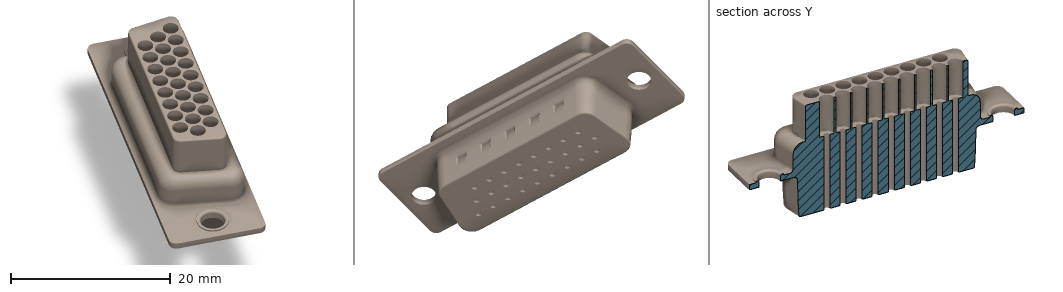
import cadquery as cq
import math

FLANGE_LENGTH = 39.15
FLANGE_WIDTH = 12.5
FLANGE_BOTTOM_Z = 6.0
FLANGE_THICKNESS = 0.82
FLANGE_TOP_Z = FLANGE_BOTTOM_Z + FLANGE_THICKNESS
FLANGE_CORNER_RADIUS = 0.98

MOUNT_SPACING = 33.3
MOUNT_POINTS = [(-MOUNT_SPACING / 2, 0), (MOUNT_SPACING / 2, 0)]
MOUNT_DIAMETER = 3.05
RIM_DIAMETER = 4.05
RIM_HEIGHT = 0.25
RIM_EDGE_RADIUS = 0.27

END_SLANT_DEG = 10.0

SHELL_LENGTH = 26.7
SHELL_WIDTH = 10.72
SHELL_TOP_Z = 10.85
SHELL_CORNER_RADIUS = 2.05
SHELL_EDGE_RADIUS = 1.45
SHELL_ROOT_RADIUS = 0.47

INSERT_LENGTH = 23.17
INSERT_WIDTH = 6.75
INSERT_TOP_Z = 16.1
INSERT_CORNER_RADIUS = 1.0
INSERT_EDGE_RADIUS = 0.25

REAR_LENGTH = 25.5
REAR_WIDTH = 9.35
REAR_CORNER_RADIUS = 2.05
REAR_DRAFT_DEG = 1.8
REAR_ROOT_RADIUS = 0.47
FOOT_HEIGHT = 1.53
FOOT_DRAFT_DEG = 4.0
FOOT_EDGE_RADIUS = 0.27

SOCKET_DIAMETER = 2.0
SOCKET_DEPTH = INSERT_TOP_Z - SHELL_TOP_Z
PIN_DIAMETER = 0.8
FULL_ROW_COUNT = 9
FULL_ROW_SPAN = 18.3
PIN_PITCH = FULL_ROW_SPAN / (FULL_ROW_COUNT - 1)
OUTER_ROW_DISTANCE = 3.95
GRID_OFFSET_X = 0.08
ROW_STAGGER = PIN_PITCH / 4
PIN_ROWS = [
    (FULL_ROW_COUNT, GRID_OFFSET_X - ROW_STAGGER),
    (FULL_ROW_COUNT, GRID_OFFSET_X + ROW_STAGGER),
    (FULL_ROW_COUNT - 1, GRID_OFFSET_X + ROW_STAGGER),
]

RECESS_COUNT = 5
RECESS_PITCH = 3.75
RECESS_TOP_Z = 4.05
RECESS_BOTTOM_Z = 2.07
RECESS_TOP_WIDTH = 1.72
RECESS_BOTTOM_WIDTH = 1.5
RECESS_DEPTH = 0.3
RECESS_WALL_DRAFT_DEG = 45.0


def d_body(length, width, corner_radius, start_z, height, draft_deg=0):
    """D-shaped prism from start_z; a negative height extrudes downwards."""
    half_width = width / 2
    slant = half_width * math.tan(math.radians(END_SLANT_DEG))
    wide = length / 2 + slant
    narrow = length / 2 - slant
    corners = [(-wide, half_width), (wide, half_width), (narrow, -half_width), (-narrow, -half_width)]
    outline = cq.Sketch().polygon(corners + corners[:1]).vertices().fillet(corner_radius)
    return cq.Workplane("XY", origin=(0, 0, start_z)).placeSketch(outline).extrude(height, taper=draft_deg)


def make_flange():
    return (
        cq.Workplane("XY", origin=(0, 0, FLANGE_BOTTOM_Z))
        .rect(FLANGE_LENGTH, FLANGE_WIDTH)
        .extrude(FLANGE_THICKNESS)
        .edges("|Z")
        .fillet(FLANGE_CORNER_RADIUS)
    )


def make_shell():
    height = SHELL_TOP_Z - FLANGE_TOP_Z
    shell = d_body(SHELL_LENGTH, SHELL_WIDTH, SHELL_CORNER_RADIUS, FLANGE_TOP_Z, height)
    return shell.faces(">Z").edges().fillet(SHELL_EDGE_RADIUS)


def make_insert():
    height = INSERT_TOP_Z - FLANGE_TOP_Z
    insert = d_body(INSERT_LENGTH, INSERT_WIDTH, INSERT_CORNER_RADIUS, FLANGE_TOP_Z, height)
    return insert.faces(">Z").edges().fillet(INSERT_EDGE_RADIUS)


def make_rear():
    wall_height = FLANGE_BOTTOM_Z - FOOT_HEIGHT
    wall = d_body(REAR_LENGTH, REAR_WIDTH, REAR_CORNER_RADIUS, FLANGE_BOTTOM_Z, -wall_height, REAR_DRAFT_DEG)
    inset = wall_height * math.tan(math.radians(REAR_DRAFT_DEG))
    foot = d_body(
        REAR_LENGTH - 2 * inset / math.cos(math.radians(END_SLANT_DEG)),
        REAR_WIDTH - 2 * inset,
        REAR_CORNER_RADIUS - inset,
        FOOT_HEIGHT,
        -FOOT_HEIGHT,
        FOOT_DRAFT_DEG,
    )
    foot = foot.faces("<Z").edges().fillet(FOOT_EDGE_RADIUS)
    return wall.union(foot)


def fillet_root(body, z, radius):
    """Round the joint between the flange face at z and the body standing on it."""
    half_x = MOUNT_SPACING / 2
    half_y = (FLANGE_WIDTH + SHELL_WIDTH) / 4
    reach = FLANGE_THICKNESS / 4
    joint = cq.selectors.BoxSelector((-half_x, -half_y, z - reach), (half_x, half_y, z + reach))
    return body.edges(joint).fillet(radius)


def make_rims():
    return (
        cq.Workplane("XY", origin=(0, 0, FLANGE_TOP_Z))
        .pushPoints(MOUNT_POINTS)
        .circle(RIM_DIAMETER / 2)
        .extrude(RIM_HEIGHT)
    )


def make_mount_holes():
    """Through holes that widen in a rounded mouth at the top of the rims."""
    top_z = FLANGE_TOP_Z + RIM_HEIGHT
    radius = MOUNT_DIAMETER / 2
    mouth_radius = radius + RIM_EDGE_RADIUS
    arc_offset = RIM_EDGE_RADIUS * math.sqrt(0.5)
    hole = (
        cq.Workplane("XZ")
        .moveTo(0, FLANGE_BOTTOM_Z)
        .lineTo(radius, FLANGE_BOTTOM_Z)
        .lineTo(radius, top_z - RIM_EDGE_RADIUS)
        .threePointArc(
            (mouth_radius - arc_offset, top_z - RIM_EDGE_RADIUS + arc_offset),
            (mouth_radius, top_z),
        )
        .lineTo(0, top_z)
        .close()
        .revolve(360, (0, 0), (0, 1))
    )
    holes = cq.Workplane("XY")
    for x, y in MOUNT_POINTS:
        holes = holes.add(hole.translate((x, y, 0)))
    return holes.combine()


def contact_points():
    row_spacing = OUTER_ROW_DISTANCE / (len(PIN_ROWS) - 1)
    points = []
    for row, (count, center_x) in enumerate(PIN_ROWS):
        y = OUTER_ROW_DISTANCE / 2 - row * row_spacing
        for column in range(count):
            points.append((center_x + (column - (count - 1) / 2) * PIN_PITCH, y))
    return points


def drill_contacts(body):
    top = cq.Workplane("XY", origin=(0, 0, INSERT_TOP_Z)).pushPoints(contact_points())
    sockets = top.circle(SOCKET_DIAMETER / 2).extrude(-SOCKET_DEPTH)
    pins = top.circle(PIN_DIAMETER / 2).extrude(-INSERT_TOP_Z)
    return body.cut(sockets).cut(pins)


def make_recess():
    """Wedge deepest at its top, with its floor running out to the wall at the bottom."""
    draft = math.tan(math.radians(REAR_DRAFT_DEG))
    top_y = -REAR_WIDTH / 2 + draft * (FLANGE_BOTTOM_Z - RECESS_TOP_Z)
    bottom_y = -REAR_WIDTH / 2 + draft * (FLANGE_BOTTOM_Z - RECESS_BOTTOM_Z)
    half_top = RECESS_TOP_WIDTH / 2
    half_bottom = RECESS_BOTTOM_WIDTH / 2
    window = (
        cq.Workplane("XZ", origin=(0, top_y, 0))
        .polyline(
            [
                (-half_top, RECESS_TOP_Z),
                (half_top, RECESS_TOP_Z),
                (half_bottom, RECESS_BOTTOM_Z),
                (-half_bottom, RECESS_BOTTOM_Z),
            ]
        )
        .close()
        .extrude(-2 * RECESS_DEPTH, taper=RECESS_WALL_DRAFT_DEG)
    )
    ramp = (
        cq.Workplane("YZ")
        .polyline(
            [
                (top_y, RECESS_TOP_Z),
                (top_y + RECESS_DEPTH, RECESS_TOP_Z),
                (bottom_y, RECESS_BOTTOM_Z),
                (top_y, RECESS_BOTTOM_Z),
            ]
        )
        .close()
        .extrude(half_top, both=True)
    )
    return window.intersect(ramp)


def cut_recesses(body):
    recess = make_recess()
    for index in range(RECESS_COUNT):
        x = (index - (RECESS_COUNT - 1) / 2) * RECESS_PITCH
        body = body.cut(recess.translate((x, 0, 0)))
    return body


result = make_flange().union(make_shell()).union(make_rear())
result = fillet_root(result, FLANGE_TOP_Z, SHELL_ROOT_RADIUS)
result = fillet_root(result, FLANGE_BOTTOM_Z, REAR_ROOT_RADIUS)
result = result.union(make_insert()).union(make_rims()).cut(make_mount_holes())
result = drill_contacts(result)
result = cut_recesses(result)